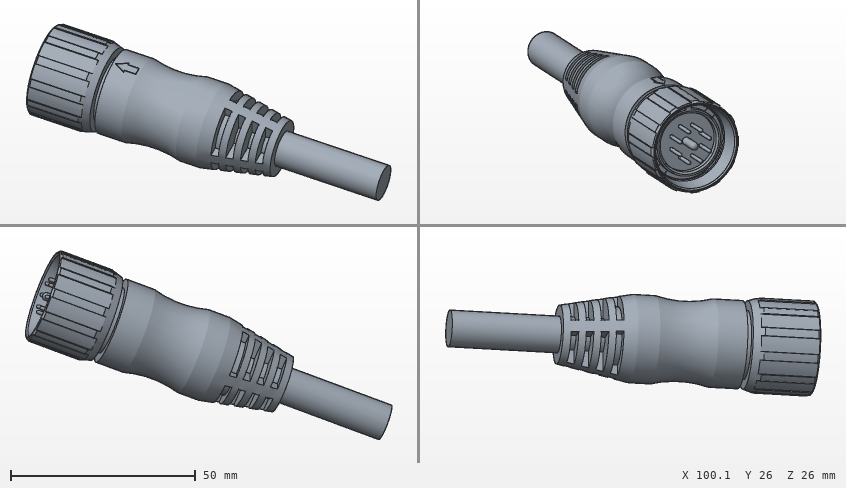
import cadquery as cq
TOTAL_LENGTH = 100.1
REACH = 2 * TOTAL_LENGTH

NUT_LENGTH = 18.5
NUT_RADIUS = 13.0
NUT_END_RADIUS = 12.0
NUT_TAPER_START = 15.4
NUT_EDGE_CHAMFER = 0.6
GROOVE_FLOOR_RADIUS = 12.7
RIB_COUNT = 12
RIB_WIDTH = 2.4

MOUTH_RADIUS = 11.7
MOUTH_CHAMFER = 0.4
BORE_END_RADIUS = 11.0
BORE_END_X = 5.4
STEP_END_X = 5.6
SHOULDER_X = 6.4
SHOULDER_OUTER_RADIUS = 10.7
NECK_RADIUS = 9.4

NOTCH_COUNT = 4
NOTCH_WIDTH = 3.0
NOTCH_DEPTH = 0.2
FIRST_NOTCH_ANGLE = 45

COLLAR_FACE_X = 4.6
COLLAR_MOUTH_RADIUS = 8.9
COLLAR_CHAMFER_END_X = 5.0
COLLAR_BORE_RADIUS = 8.3
COLLAR_FLOOR_X = SHOULDER_X
KEY_WIDTH = 1.6
KEY_TOP = 10.5

CENTRE_PIN_RADIUS = 1.1
PIN_RADIUS = 0.5
PIN_COUNT = 8
PIN_CIRCLE_RADIUS = 4.7

GRIP_START = 20.0
GRIP_RADIUS = 12.0
WAIST_START = 28.0
WAIST_END = 44.0
WAIST_RADIUS = 10.9
TAPER_START = 50.0
TAPER_END = 70.1
TAPER_END_RADIUS = 8.0
CABLE_RADIUS = 5.0

ARROW_TIP_X = 20.9
ARROW_HEAD_END_X = 24.0
ARROW_TAIL_X = 27.3
ARROW_HEAD_HALF_WIDTH = 1.7
ARROW_SHAFT_HALF_WIDTH = 1.1
ARROW_HEIGHT = 0.2

FIRST_SLOT_X = 54.0
SLOT_WIDTH = 2.0
SLOT_PITCH = 4.0
SLOT_FLOOR_RADII = (8.4, CABLE_RADIUS, CABLE_RADIUS, CABLE_RADIUS)
SPINE_WIDTH = 3.2


def cylinder(x_start, x_end, radius):
    """Solid cylinder about the connector axis between two X positions."""
    return cq.Workplane("YZ", origin=(x_start, 0, 0)).circle(radius).extrude(x_end - x_start)


def turned(profile):
    """Close a half section, drawn as (X, radius), and revolve it about the connector axis."""
    return profile.close().revolve(360, (0, 0, 0), (1, 0, 0))


def about_axis(shape, degrees):
    return shape.rotate((0, 0, 0), (1, 0, 0), degrees)


def nut_shell():
    return turned(
        cq.Workplane("XY")
        .moveTo(0, MOUTH_RADIUS + MOUTH_CHAMFER)
        .lineTo(0, NUT_RADIUS - NUT_EDGE_CHAMFER)
        .lineTo(NUT_EDGE_CHAMFER, NUT_RADIUS)
        .lineTo(NUT_TAPER_START, NUT_RADIUS)
        .lineTo(NUT_LENGTH, NUT_END_RADIUS)
        .lineTo(NUT_LENGTH, NECK_RADIUS)
        .lineTo(SHOULDER_X, NECK_RADIUS)
        .lineTo(SHOULDER_X, SHOULDER_OUTER_RADIUS)
        .lineTo(STEP_END_X, SHOULDER_OUTER_RADIUS)
        .lineTo(BORE_END_X, BORE_END_RADIUS)
        .lineTo(MOUTH_CHAMFER, MOUTH_RADIUS)
    )


def radial_strip(width, degrees):
    """Block running outward from the connector axis, turned from straight up by an angle."""
    upright = cq.Workplane("XY").box(REACH, width, REACH, centered=(True, True, False))
    return about_axis(upright, degrees)


def grip_grooves():
    """The thin outer layer of the nut, less the strips that stay as ribs."""
    grooves = cylinder(0, NUT_LENGTH, 2 * NUT_RADIUS).cut(cylinder(0, NUT_LENGTH, GROOVE_FLOOR_RADIUS))
    for i in range(RIB_COUNT):
        grooves = grooves.cut(radial_strip(RIB_WIDTH, i * 360 / RIB_COUNT))
    return grooves


def shoulder_notches():
    """Four straight-sided pockets across the shoulder ring, on the diagonals."""
    ring = cylinder(SHOULDER_X, SHOULDER_X + NOTCH_DEPTH, SHOULDER_OUTER_RADIUS)
    notches = ring.intersect(radial_strip(NOTCH_WIDTH, FIRST_NOTCH_ANGLE))
    for i in range(1, NOTCH_COUNT):
        angle = FIRST_NOTCH_ANGLE + i * 360 / NOTCH_COUNT
        notches = notches.union(ring.intersect(radial_strip(NOTCH_WIDTH, angle)))
    return notches


def make_nut():
    return nut_shell().cut(grip_grooves()).cut(shoulder_notches())


def plug_core():
    """Collar, neck, waisted grip, taper and cable as one turned shape."""
    waist_middle = ((WAIST_START + WAIST_END) / 2, WAIST_RADIUS)
    return turned(
        cq.Workplane("XZ")
        .moveTo(COLLAR_FLOOR_X, 0)
        .lineTo(COLLAR_FLOOR_X, COLLAR_BORE_RADIUS)
        .lineTo(COLLAR_CHAMFER_END_X, COLLAR_BORE_RADIUS)
        .lineTo(COLLAR_FACE_X, COLLAR_MOUTH_RADIUS)
        .lineTo(COLLAR_FACE_X, NECK_RADIUS)
        .lineTo(GRIP_START, NECK_RADIUS)
        .lineTo(GRIP_START, GRIP_RADIUS)
        .lineTo(WAIST_START, GRIP_RADIUS)
        .threePointArc(waist_middle, (WAIST_END, GRIP_RADIUS))
        .lineTo(TAPER_START, GRIP_RADIUS)
        .lineTo(TAPER_END, TAPER_END_RADIUS)
        .lineTo(TAPER_END, CABLE_RADIUS)
        .lineTo(TOTAL_LENGTH, CABLE_RADIUS)
        .lineTo(TOTAL_LENGTH, 0)
    )


def collar_key():
    """Round-topped key along the top of the collar, ending at the nut's shoulder."""
    radius = KEY_WIDTH / 2
    arc_centre = KEY_TOP - radius
    bar = (
        cq.Workplane("YZ", origin=(COLLAR_FACE_X, 0, 0))
        .moveTo(-radius, 0)
        .lineTo(-radius, arc_centre)
        .threePointArc((0, KEY_TOP), (radius, arc_centre))
        .lineTo(radius, 0)
        .close()
        .extrude(SHOULDER_X - COLLAR_FACE_X)
    )
    return bar.cut(cylinder(COLLAR_FACE_X, SHOULDER_X, NECK_RADIUS))


def pin(radius):
    """Pin on the connector axis, from its domed tip to the collar floor."""
    dome = cq.Workplane("XY").sphere(radius).translate((radius, 0, 0))
    return cylinder(radius, COLLAR_FLOOR_X, radius).union(dome)


def arrow():
    outline = (
        cq.Workplane("XY")
        .moveTo(ARROW_TIP_X, 0)
        .lineTo(ARROW_HEAD_END_X, ARROW_HEAD_HALF_WIDTH)
        .lineTo(ARROW_HEAD_END_X, ARROW_SHAFT_HALF_WIDTH)
        .lineTo(ARROW_TAIL_X, ARROW_SHAFT_HALF_WIDTH)
        .lineTo(ARROW_TAIL_X, -ARROW_SHAFT_HALF_WIDTH)
        .lineTo(ARROW_HEAD_END_X, -ARROW_SHAFT_HALF_WIDTH)
        .lineTo(ARROW_HEAD_END_X, -ARROW_HEAD_HALF_WIDTH)
        .close()
        .extrude(REACH)
    )
    return outline.intersect(cylinder(GRIP_START, WAIST_START, GRIP_RADIUS + ARROW_HEIGHT))


def slot(index):
    """One ring slot, left uncut at the four spines."""
    x_start = FIRST_SLOT_X + index * SLOT_PITCH
    x_end = x_start + SLOT_WIDTH
    ring = cylinder(x_start, x_end, GRIP_RADIUS).cut(cylinder(x_start, x_end, SLOT_FLOOR_RADII[index]))
    upright_spines = cq.Workplane("XY").box(REACH, SPINE_WIDTH, REACH)
    level_spines = cq.Workplane("XY").box(REACH, REACH, SPINE_WIDTH)
    return ring.cut(upright_spines).cut(level_spines)


def make_plug():
    plug = plug_core().union(collar_key()).union(arrow()).union(pin(CENTRE_PIN_RADIUS))
    contact = pin(PIN_RADIUS).translate((0, 0, PIN_CIRCLE_RADIUS))
    for i in range(PIN_COUNT):
        plug = plug.union(about_axis(contact, (i + 0.5) * 360 / PIN_COUNT))
    for i in range(len(SLOT_FLOOR_RADII)):
        plug = plug.cut(slot(i))
    return plug


coupling_nut = make_nut()
plug = make_plug()
result = cq.Compound.makeCompound([coupling_nut.val(), plug.val()])